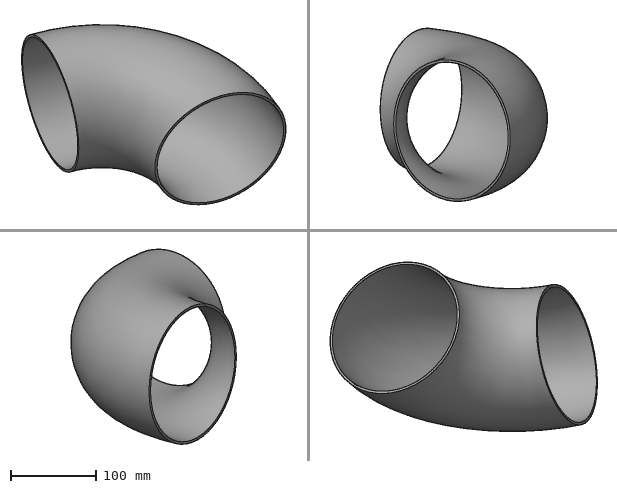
import cadquery as cq

outer_diameter = 168.3
wall_thickness = 3.0
bend_radius = 152.0
bend_angle = 90.0

outer_radius = outer_diameter / 2
inner_radius = outer_radius - wall_thickness


def make_elbow():
    """Sweep the pipe's ring section from the end facing -Y to the end facing +X."""
    ring_section = (
        cq.Workplane("XZ")
        .center(-bend_radius, 0)
        .circle(outer_radius)
        .circle(inner_radius)
    )
    axis_start = (bend_radius, 0)
    axis_end = (bend_radius, -1)
    return ring_section.revolve(bend_angle, axis_start, axis_end)


result = make_elbow()